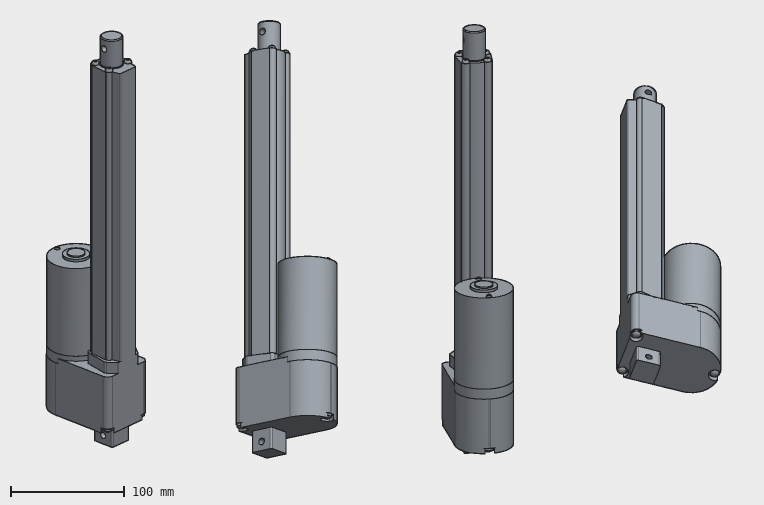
import cadquery as cq
import math


OVERALL_HEIGHT = 392.83
HOUSING_BOTTOM_Z = 19.6
HOUSING_TOP_Z = 70.6
COVER_TOP_Z = 75.3
COLLAR_TOP_Z = 80.1
FLANGE_TOP_Z = 86.0
MOTOR_TOP_Z = 165.2
TUBE_TOP_Z = 365.4

MOTOR_DIAMETER = 52.0
COLLAR_DIAMETER = 52.2
BEARING_BOSS_DIAMETER = 24.0
BEARING_BOSS_HEIGHT = 2.4
BEARING_CAP_DIAMETER = 16.0
BEARING_CAP_HEIGHT = 1.2
MOTOR_SCREW_DIAMETER = 5.0
MOTOR_SCREW_HEIGHT = 2.0
MOTOR_SCREW_OFFSET = 22.6

HOUSING_LENGTH = 88.08
HOUSING_WIDTH = MOTOR_DIAMETER
HOUSING_LEFT_X = -MOTOR_DIAMETER / 2
HOUSING_RIGHT_X = HOUSING_LEFT_X + HOUSING_LENGTH
MOTOR_END_RADIUS = 25.5
ROD_END_RADIUS = 6.0

COUNTERBORE_DIAMETER = 11.5
COUNTERBORE_DEPTH = 4.8
HOUSING_SCREW_DIAMETER = 8.0
HOUSING_SCREW_COLLAR = 2.2
HOUSING_SCREW_DOME = 2.2
HOUSING_SCREW_END_GAP = 4.2
HOUSING_SCREW_CORNER_GAP = 5.0

ROD_X = 42.4
ROD_DIAMETER = 20.0
ROD_CHAMFER = 1.0
ROD_HOLE_DIAMETER = 6.0
ROD_HOLE_DROP = 9.7
WIPER_RING_DIAMETER = 21.0
WIPER_RING_HEIGHT = 0.8

BARREL_RADIUS = 14.5
REAR_BOSS_X, REAR_BOSS_Y, REAR_BOSS_RADIUS = -10.5, 9.7, 4.0
FRONT_BOSS_X, FRONT_BOSS_Y, FRONT_BOSS_RADIUS = 8.2, 12.1, 3.7
TUBE_END_X = HOUSING_RIGHT_X - ROD_X
TUBE_END_HALF_WIDTH = 10.2
TUBE_EDGE_RADIUS = 1.0
PANEL_RISE = 0.5
TUBE_SCREW_DIAMETER = 7.0
TUBE_SCREW_HEIGHT = 3.3

FLANGE_REAR_X = -15.8
FLANGE_REAR_HALF_WIDTH = 14.8
FLANGE_PEAK_X = 10.4
FLANGE_PEAK_HALF_WIDTH = 20.2
FLANGE_END_HALF_WIDTH = 13.0
FLANGE_CORNER_RADIUS = 3.0

LUG_SIDE = 22.0
LUG_EDGE_RADIUS = 1.5
LUG_HOLE_DIAMETER = 6.0
LUG_HOLE_Z = 8.3

RECESS_LENGTH = 2.4
RECESS_WIDTH = 0.7
RECESS_DEPTH = 1.0


def cylinder(diameter, height, x, y, z):
    """Upright cylinder standing on (x, y, z)."""
    return cq.Workplane("XY", origin=(x, y, z)).circle(diameter / 2).extrude(height)


def dome(diameter, height):
    """Spherical cap standing on the XY plane."""
    radius = diameter / 2
    sphere_radius = (radius**2 + height**2) / (2 * height)
    sphere = cq.Workplane("XY").sphere(sphere_radius).translate((0, 0, height - sphere_radius))
    return sphere.intersect(cq.Workplane("XY").circle(diameter).extrude(height))


def cross_head_screw(diameter, height, x, y, z):
    """Domed screw head with a cross recess."""
    head = dome(diameter, height)
    recess = cq.Workplane("XY", origin=(0, 0, height - RECESS_DEPTH))
    head = head.cut(recess.rect(RECESS_LENGTH, RECESS_WIDTH).extrude(height))
    head = head.cut(recess.rect(RECESS_WIDTH, RECESS_LENGTH).extrude(height))
    return head.translate((x, y, z))


def housing_block(left_x, bottom_z, top_z):
    """Block from left_x to the rod end, with its vertical edges rounded at the rod end."""
    length = HOUSING_RIGHT_X - left_x
    plane = cq.Workplane("XY", origin=(left_x + length / 2, 0, bottom_z))
    block = plane.rect(length, HOUSING_WIDTH).extrude(top_z - bottom_z)
    return block.edges("|Z and >X").fillet(ROD_END_RADIUS)


def housing_screw_places():
    corner_x = HOUSING_RIGHT_X - HOUSING_SCREW_CORNER_GAP
    corner_y = HOUSING_WIDTH / 2 - HOUSING_SCREW_CORNER_GAP
    return [(HOUSING_LEFT_X + HOUSING_SCREW_END_GAP, 0), (corner_x, corner_y), (corner_x, -corner_y)]


def make_housing():
    housing = housing_block(HOUSING_LEFT_X, HOUSING_BOTTOM_Z, HOUSING_TOP_Z)
    housing = housing.edges("|Z and <X").fillet(MOTOR_END_RADIUS)
    seat_z = HOUSING_BOTTOM_Z + COUNTERBORE_DEPTH
    for x, y in housing_screw_places():
        housing = housing.cut(cylinder(COUNTERBORE_DIAMETER, COUNTERBORE_DEPTH, x, y, HOUSING_BOTTOM_Z))
        head = dome(HOUSING_SCREW_DIAMETER, HOUSING_SCREW_DOME).mirror("XY")
        head = head.translate((x, y, seat_z - HOUSING_SCREW_COLLAR))
        collar = cylinder(HOUSING_SCREW_DIAMETER, HOUSING_SCREW_COLLAR, x, y, seat_z - HOUSING_SCREW_COLLAR)
        housing = housing.union(collar.union(head))
    return housing.union(housing_block(0, HOUSING_TOP_Z, COVER_TOP_Z))


def make_motor():
    motor = cylinder(MOTOR_DIAMETER, MOTOR_TOP_Z - HOUSING_TOP_Z, 0, 0, HOUSING_TOP_Z)
    motor = motor.union(cylinder(COLLAR_DIAMETER, COLLAR_TOP_Z - HOUSING_TOP_Z, 0, 0, HOUSING_TOP_Z))
    motor = motor.union(cylinder(BEARING_BOSS_DIAMETER, BEARING_BOSS_HEIGHT, 0, 0, MOTOR_TOP_Z))
    cap_z = MOTOR_TOP_Z + BEARING_BOSS_HEIGHT
    motor = motor.union(cylinder(BEARING_CAP_DIAMETER, BEARING_CAP_HEIGHT, 0, 0, cap_z))
    for x in (-MOTOR_SCREW_OFFSET, MOTOR_SCREW_OFFSET):
        screw = cross_head_screw(MOTOR_SCREW_DIAMETER, MOTOR_SCREW_HEIGHT, x, 0, MOTOR_TOP_Z)
        motor = motor.union(screw)
    return motor


def make_flange():
    points = [
        (FLANGE_REAR_X, -FLANGE_REAR_HALF_WIDTH),
        (FLANGE_PEAK_X, -FLANGE_PEAK_HALF_WIDTH),
        (TUBE_END_X, -FLANGE_END_HALF_WIDTH),
        (TUBE_END_X, FLANGE_END_HALF_WIDTH),
        (FLANGE_PEAK_X, FLANGE_PEAK_HALF_WIDTH),
        (FLANGE_REAR_X, FLANGE_REAR_HALF_WIDTH),
    ]
    plane = cq.Workplane("XY", origin=(ROD_X, 0, COVER_TOP_Z))
    flange = plane.polyline(points).close().extrude(FLANGE_TOP_Z - COVER_TOP_Z)
    flange = flange.edges("|Z and (not >X)").fillet(FLANGE_CORNER_RADIUS)
    return flange.edges("|Z and >X").fillet(TUBE_EDGE_RADIUS)


def make_tube():
    height = TUBE_TOP_Z - FLANGE_TOP_Z
    plane = cq.Workplane("XY", origin=(ROD_X, 0, FLANGE_TOP_Z))
    dx = FRONT_BOSS_X - REAR_BOSS_X
    dy = FRONT_BOSS_Y - REAR_BOSS_Y
    lean = math.asin((REAR_BOSS_RADIUS - FRONT_BOSS_RADIUS) / math.hypot(dx, dy))
    normal = math.atan2(dy, dx) + math.pi / 2 - lean
    rear_reach = REAR_BOSS_RADIUS + PANEL_RISE
    front_reach = FRONT_BOSS_RADIUS + PANEL_RISE
    rear_x = REAR_BOSS_X + rear_reach * math.cos(normal)
    rear_y = REAR_BOSS_Y + rear_reach * math.sin(normal)
    front_x = FRONT_BOSS_X + front_reach * math.cos(normal)
    front_y = FRONT_BOSS_Y + front_reach * math.sin(normal)
    side_x = FRONT_BOSS_X + FRONT_BOSS_RADIUS
    core = [
        (REAR_BOSS_X, -REAR_BOSS_Y),
        (rear_x, -rear_y),
        (front_x, -front_y),
        (FRONT_BOSS_X, -FRONT_BOSS_Y),
        (side_x, -FRONT_BOSS_Y),
        (TUBE_END_X, -TUBE_END_HALF_WIDTH),
    ]
    mirrored = [(x, -y) for x, y in reversed(core)]
    tube = plane.polyline(core + mirrored).close().extrude(height)
    tube = tube.edges("|Z and >X").fillet(TUBE_EDGE_RADIUS)
    tube = tube.union(plane.circle(BARREL_RADIUS).extrude(height))
    bosses = (
        (REAR_BOSS_X, REAR_BOSS_Y, REAR_BOSS_RADIUS),
        (FRONT_BOSS_X, FRONT_BOSS_Y, FRONT_BOSS_RADIUS),
    )
    for boss_x, boss_y, radius in bosses:
        for side in (-1, 1):
            tube = tube.union(cylinder(2 * radius, height, ROD_X + boss_x, side * boss_y, FLANGE_TOP_Z))
    return tube


def add_tube_screws(tube):
    for boss_x, boss_y in ((REAR_BOSS_X, REAR_BOSS_Y), (FRONT_BOSS_X, FRONT_BOSS_Y)):
        for side in (-1, 1):
            tube = tube.union(cross_head_screw(
                TUBE_SCREW_DIAMETER, TUBE_SCREW_HEIGHT, ROD_X + boss_x, side * boss_y, TUBE_TOP_Z))
    return tube


def make_rod():
    """Exposed end of the rod, with the wiper ring where it leaves the tube."""
    rod = cylinder(ROD_DIAMETER, OVERALL_HEIGHT - TUBE_TOP_Z, ROD_X, 0, TUBE_TOP_Z)
    rod = rod.faces(">Z").chamfer(ROD_CHAMFER)
    hole_z = OVERALL_HEIGHT - ROD_HOLE_DROP
    hole = cq.Workplane("XZ", origin=(ROD_X, 0, hole_z)).circle(ROD_HOLE_DIAMETER / 2)
    rod = rod.cut(hole.extrude(ROD_DIAMETER, both=True))
    return rod.union(cylinder(WIPER_RING_DIAMETER, WIPER_RING_HEIGHT, ROD_X, 0, TUBE_TOP_Z))


def make_lug():
    lug = cq.Workplane("XY", origin=(ROD_X, 0, 0)).rect(LUG_SIDE, LUG_SIDE).extrude(HOUSING_BOTTOM_Z)
    lug = lug.edges("|Z").fillet(LUG_EDGE_RADIUS)
    hole = cq.Workplane("XZ", origin=(ROD_X, 0, LUG_HOLE_Z)).circle(LUG_HOLE_DIAMETER / 2)
    return lug.cut(hole.extrude(LUG_SIDE, both=True))


result = make_housing().union(make_motor()).union(make_flange())
result = result.union(add_tube_screws(make_tube()))
result = result.union(make_rod()).union(make_lug())